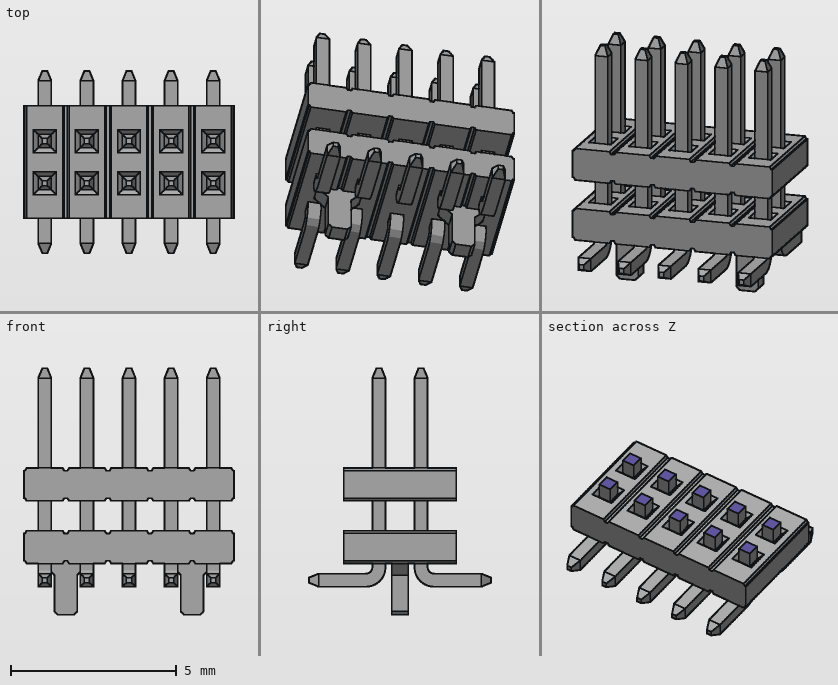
import cadquery as cq

block_length = 6.35
columns = 5
rows = 2
pitch = block_length / columns

block_depth = 3.4
block_height = 1.0
lower_block_z = 1.55
block_spacing = 1.89
block_bottoms = (lower_block_z, lower_block_z + block_spacing)
groove_depth = 0.08
groove_floor = 0.1
groove_slope_width = 0.0475
end_step_width = 0.04

pin_width = 0.4
pocket_width = 0.69
pocket_depth = (pocket_width - pin_width) / 2

total_height = 7.44
total_depth = 5.5
tip_length = 0.3
tip_width = 0.155
foot_bottom = 0.85
bend_inner_radius = 0.19
bend_outer_radius = bend_inner_radius + pin_width

peg_offset = 1.5 * pitch
peg_width = 0.7
peg_depth = 0.5
peg_tip_chamfer = 0.11
peg_flare = 0.34

column_xs = [(i - (columns - 1) / 2) * pitch for i in range(columns)]
row_y = (rows - 1) / 2 * pitch


def make_groove(x, floor_width, z_face, inward):
    """Trapezoid groove along Y, cut from z_face in the inward (+1 or -1) Z direction."""
    half_floor = floor_width / 2
    half_mouth = half_floor + groove_slope_width
    z_floor = z_face + inward * groove_depth
    return (
        cq.Workplane("XZ", origin=(x, 0, 0))
        .moveTo(-half_mouth, z_face)
        .lineTo(-half_floor, z_floor)
        .lineTo(half_floor, z_floor)
        .lineTo(half_mouth, z_face)
        .close()
        .extrude(block_depth / 2, both=True)
    )


def make_pocket(x, y, z_top):
    """Square funnel that narrows downward to the pin."""
    return (
        cq.Workplane("XY", origin=(x, y, z_top))
        .rect(pocket_width, pocket_width)
        .workplane(offset=-pocket_depth)
        .rect(pin_width, pin_width)
        .loft(ruled=True)
    )


def make_block(z_bottom):
    """Insulator block with grooves between the columns, half grooves at its ends and pin pockets."""
    z_top = z_bottom + block_height
    block = (
        cq.Workplane("XY", origin=(0, 0, z_bottom))
        .box(block_length, block_depth, block_height, centered=(True, True, False))
    )
    grooves = [(x + pitch / 2, groove_floor) for x in column_xs[:-1]]
    grooves += [(x, 2 * end_step_width) for x in (-block_length / 2, block_length / 2)]
    for x, floor_width in grooves:
        block = block.cut(make_groove(x, floor_width, z_top, -1))
        block = block.cut(make_groove(x, floor_width, z_bottom, 1))
    for x in column_xs:
        for y in (-row_y, row_y):
            block = block.cut(make_pocket(x, y, z_top))
    return block


def make_pin_tip(base):
    """Blunt pyramid that grows from the base workplane."""
    return (
        base.rect(pin_width, pin_width)
        .workplane(offset=tip_length)
        .rect(tip_width, tip_width)
        .loft(ruled=True)
    )


def make_pin(x):
    """Pin of the +Y row: an upright post, a quarter bend and a foot pointing to +Y."""
    inner_y = row_y - pin_width / 2
    outer_y = row_y + pin_width / 2
    foot_top = foot_bottom + pin_width
    bend_y = outer_y + bend_inner_radius
    bend_z = foot_top + bend_inner_radius
    shank_top = total_height - tip_length
    foot_end = total_depth / 2 - tip_length
    shank = (
        cq.Workplane("YZ", origin=(x, 0, 0))
        .moveTo(inner_y, shank_top)
        .lineTo(inner_y, bend_z)
        .radiusArc((bend_y, foot_bottom), -bend_outer_radius)
        .lineTo(foot_end, foot_bottom)
        .lineTo(foot_end, foot_top)
        .lineTo(bend_y, foot_top)
        .radiusArc((outer_y, bend_z), bend_inner_radius)
        .lineTo(outer_y, shank_top)
        .close()
        .extrude(pin_width / 2, both=True)
    )
    top_tip = make_pin_tip(cq.Workplane("XY", origin=(x, row_y, shank_top)))
    foot_z = foot_bottom + pin_width / 2
    foot_tip = make_pin_tip(cq.Workplane("ZX", origin=(x, foot_end, foot_z)))
    return shank.union(top_tip).union(foot_tip)


def make_peg(x):
    """Locating peg with a chamfered tip, flared at 45 degrees where it meets the block."""
    half_width = peg_width / 2
    half_tip = half_width - peg_tip_chamfer
    half_root = half_width + peg_flare
    flare_z = lower_block_z - peg_flare
    root_z = lower_block_z + groove_depth
    return (
        cq.Workplane("XZ", origin=(x, 0, 0))
        .moveTo(-half_tip, 0)
        .lineTo(half_tip, 0)
        .lineTo(half_width, peg_tip_chamfer)
        .lineTo(half_width, flare_z)
        .lineTo(half_root, lower_block_z)
        .lineTo(half_root, root_z)
        .lineTo(-half_root, root_z)
        .lineTo(-half_root, lower_block_z)
        .lineTo(-half_width, flare_z)
        .lineTo(-half_width, peg_tip_chamfer)
        .close()
        .extrude(peg_depth / 2, both=True)
    )


result = make_block(block_bottoms[0])
result = result.union(make_block(block_bottoms[1]))
for column_x in column_xs:
    pin = make_pin(column_x)
    result = result.union(pin).union(pin.mirror("XZ"))
for peg_x in (-peg_offset, peg_offset):
    result = result.union(make_peg(peg_x))